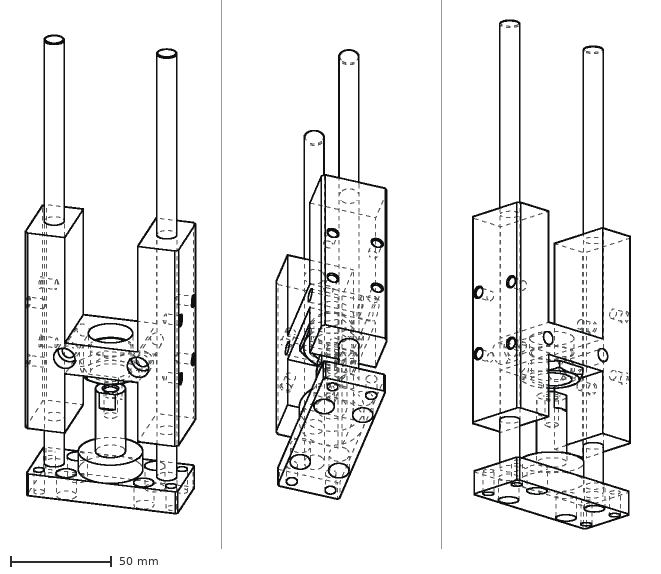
import cadquery as cq
import math

housing_width = 79.0
housing_depth = 34.0
housing_height = 107.5
housing_bottom = 37.5
leg_gap = 37.5
bridge_bottom = 70.0
bridge_height = 17.0
bridge_top = bridge_bottom + bridge_height
housing_chamfer = 1.5

hex_corner_diameter = 32.0
hex_flat_diameter = hex_corner_diameter * math.cos(math.radians(30))
hex_height = 4.7
hex_chamfer_angle = 30
bore_diameter = 20.3
upper_bore_diameter = 22.0
upper_bore_depth = 7.5

mount_spacing = 38.0
mount_hole_diameter = 6.5
mount_head_diameter = 11.0
mount_head_depth = 8.0

side_hole_diameter = 5.0
side_hole_mouth_diameter = 6.1
side_hole_depth = 8.0
side_hole_y_spacing = 23.0
side_hole_z_spacing = 32.0
side_hole_middle_z = 88.5

plate_width = 78.0
plate_depth = 32.0
plate_height = 12.0
plate_chamfer = 1.0
corner_hole_diameter = 5.5
corner_hole_x_spacing = 68.0
large_hole_diameter = 10.0
large_hole_x_spacing = 40.0
plate_hole_y_spacing = 20.0

rod_diameter = 10.0
rod_spacing = 58.0
rod_top = 245.0
rod_chamfer = 0.5

flange_diameter = plate_depth
flange_height = 10.0
shaft_diameter = 15.0
shaft_top = 56.5
flat_distance = 12.5
flat_height = 8.3
shaft_hole_diameter = 6.5
shaft_hole_mouth_diameter = 8.0
shaft_hole_depth = 14.7

cone_half_angle = 59


def cylinder(diameter, bottom, top):
    """Upright cylinder on the Z axis."""
    return cq.Workplane("XY").workplane(offset=bottom).circle(diameter / 2).extrude(top - bottom)


def drill(diameter, mouth_diameter, depth):
    """Blind drilled hole going down from the origin, with a 45 degree mouth and a cone bottom."""
    radius = diameter / 2
    mouth_radius = mouth_diameter / 2
    tip_depth = depth + radius / math.tan(math.radians(cone_half_angle))
    return (
        cq.Workplane("XZ")
        .moveTo(0, 0)
        .lineTo(mouth_radius, 0)
        .lineTo(radius, radius - mouth_radius)
        .lineTo(radius, -depth)
        .lineTo(0, -tip_depth)
        .close()
        .revolve(360, (0, 0, 0), (0, 1, 0))
    )


def make_hex_boss():
    """Hexagon under the bridge whose lower corners are turned down to the flats."""
    bottom = bridge_bottom - hex_height
    hexagon = (
        cq.Workplane("XY").workplane(offset=bottom).polygon(6, hex_corner_diameter).extrude(hex_height)
    )
    corner_radius = hex_corner_diameter / 2
    flat_radius = hex_flat_diameter / 2
    chamfer_height = (corner_radius - flat_radius) * math.tan(math.radians(hex_chamfer_angle))
    turned_envelope = (
        cq.Workplane("XZ")
        .moveTo(0, bottom)
        .lineTo(flat_radius, bottom)
        .lineTo(corner_radius, bottom + chamfer_height)
        .lineTo(corner_radius, bridge_bottom)
        .lineTo(0, bridge_bottom)
        .close()
        .revolve(360, (0, 0, 0), (0, 1, 0))
    )
    return hexagon.intersect(turned_envelope)


def make_housing():
    body = (
        cq.Workplane("XY")
        .workplane(offset=housing_bottom)
        .rect(housing_width, housing_depth)
        .extrude(housing_height)
        .edges("|Z")
        .chamfer(housing_chamfer)
    )

    housing_top = housing_bottom + housing_height
    for bottom, top in ((housing_bottom, bridge_bottom), (bridge_top, housing_top)):
        opening = cq.Workplane("XY").workplane(offset=bottom).rect(leg_gap, housing_depth)
        body = body.cut(opening.extrude(top - bottom))

    body = body.union(make_hex_boss())
    body = body.cut(cylinder(bore_diameter, bridge_bottom - hex_height, bridge_top))
    body = body.cut(cylinder(upper_bore_diameter, bridge_top - upper_bore_depth, bridge_top))

    bridge_middle = bridge_bottom + bridge_height / 2
    for side in (-1, 1):
        guide_bore = cylinder(rod_diameter, housing_bottom, housing_top)
        body = body.cut(guide_bore.translate((side * rod_spacing / 2, 0, 0)))

        mount_front = cq.Workplane("XZ", origin=(side * mount_spacing / 2, -housing_depth / 2, bridge_middle))
        body = body.cut(mount_front.circle(mount_hole_diameter / 2).extrude(-housing_depth))
        body = body.cut(mount_front.circle(mount_head_diameter / 2).extrude(-mount_head_depth))

    for side in (-1, 1):
        side_drill = drill(side_hole_diameter, side_hole_mouth_diameter, side_hole_depth)
        side_drill = side_drill.rotate((0, 0, 0), (0, 1, 0), side * 90)
        for row in (-1, 1):
            for column in (-1, 1):
                place = (
                    side * housing_width / 2,
                    column * side_hole_y_spacing / 2,
                    side_hole_middle_z + row * side_hole_z_spacing / 2,
                )
                body = body.cut(side_drill.translate(place))
    return body


def make_shaft():
    """Flange and shaft with two wrench flats and a hole in its top end."""
    shaft = cylinder(shaft_diameter, plate_height, shaft_top)

    flat_band = cylinder(shaft_diameter, shaft_top - flat_height, shaft_top)
    across_flats = (
        cq.Workplane("XY")
        .workplane(offset=shaft_top - flat_height)
        .rect(shaft_diameter, flat_distance)
        .extrude(flat_height)
    )
    shaft = shaft.cut(flat_band.cut(across_flats))

    end_hole = drill(shaft_hole_diameter, shaft_hole_mouth_diameter, shaft_hole_depth)
    shaft = shaft.cut(end_hole.translate((0, 0, shaft_top)))
    return shaft.union(cylinder(flange_diameter, plate_height, plate_height + flange_height))


def make_carriage():
    """Base plate with its two guide rods and the central shaft."""
    body = (
        cq.Workplane("XY")
        .rect(plate_width, plate_depth)
        .extrude(plate_height)
        .edges("|Z")
        .chamfer(plate_chamfer)
    )

    for diameter, x_spacing in (
        (corner_hole_diameter, corner_hole_x_spacing),
        (large_hole_diameter, large_hole_x_spacing),
    ):
        centers = cq.Workplane("XY").rect(x_spacing, plate_hole_y_spacing, forConstruction=True).vertices()
        body = body.cut(centers.circle(diameter / 2).extrude(plate_height))

    body = body.union(make_shaft())

    rod = cylinder(rod_diameter, plate_height, rod_top).faces(">Z").chamfer(rod_chamfer)
    for side in (-1, 1):
        body = body.union(rod.translate((side * rod_spacing / 2, 0, 0)))
    return body


housing = make_housing()
carriage = make_carriage()

result = cq.Compound.makeCompound([housing.solids().val(), carriage.solids().val()])